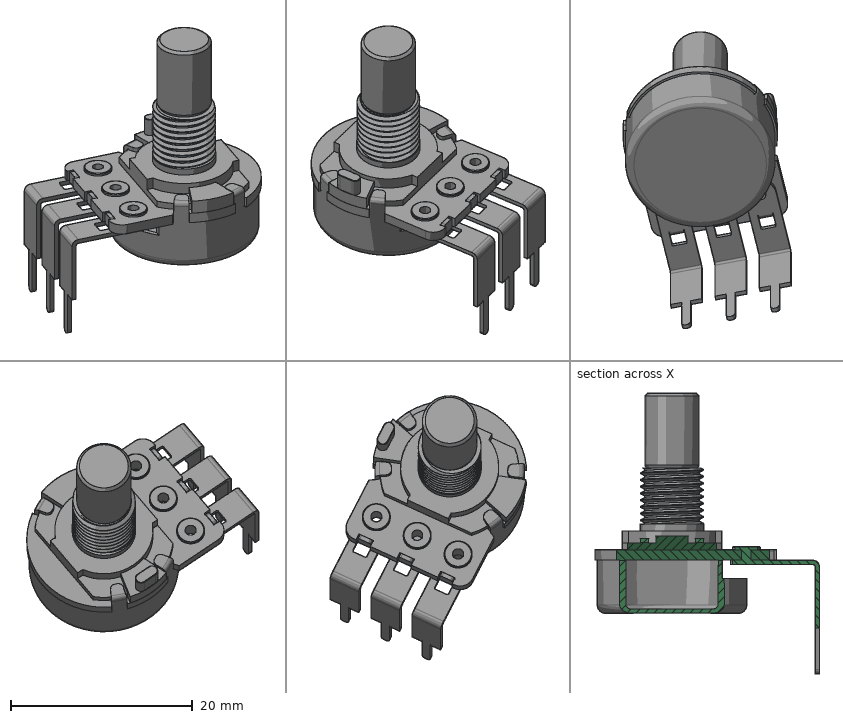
import cadquery as cq
import math


SHEET = 0.5

BOARD_THICKNESS = 1.17
BOARD_RADIUS = 8.5
BOARD_WIDTH = 15.33
BOARD_FRONT_Y = -11.53
BOARD_CORNER_RADIUS = 1.5

CAN_OUTER_RADIUS = 16.5 / 2
CAN_INNER_RADIUS = 15.5 / 2
CAN_DEPTH = 5.87
CAN_BOTTOM_FILLET = 0.95
CAN_NOTCH_Y = -5.55
CAN_NOTCH_DEPTH = 2.0

TAB_START_ANGLE = 19
TAB_END_ANGLE = 31
TAB_TIP_RADIUS = 6.4
TAB_TIP_FILLET = 0.6

PLATE_BASE_RADIUS = 7.65
PLATE_HALF_DEPTH = 5.5
PLATE_BASE_THICKNESS = 0.75
HUB_RADIUS = 5.4
HUB_HEIGHT = 1.3
HUB_LUG_WIDTH = 5.0
WING_HALF_ANGLE = 17
WING_THICKNESS = 1.5

PEG_LENGTH = 2.78
PEG_WIDTH = 1.25
PEG_HEIGHT = 2.0
PEG_X = -7.82
PEG_CHAMFER = 0.05

COLLAR_RADIUS = 7.0 / 2
COLLAR_HEIGHT = 0.75
THREAD_CREST_RADIUS = 6.92 / 2
THREAD_ROOT_RADIUS = 6.05 / 2
THREAD_PITCH = 0.75
THREAD_CREST_WIDTH = THREAD_PITCH / 8
THREAD_ROOT_WIDTH = THREAD_PITCH / 4
THREAD_LENGTH = 6.2
THREAD_EMBED = 0.1
THREAD_LEAD_IN = 0.5
NECK_RADIUS = 2.85
NECK_HEIGHT = 0.3
SHAFT_RADIUS = 6.0 / 2
SHAFT_TOP_Z = 18.4
SHAFT_CHAMFER = 0.3

TERMINAL_SPACING = 5.0
TERMINAL_WIDTH = 3.52
TERMINAL_FRONT_Y = -16.25
TERMINAL_BEND_RADIUS = 0.75
TERMINAL_SHOULDER_Z = -7.48
PIN_WIDTH = 1.0
PIN_TIP_Z = -12.5

RIVET_Y = -8.2
RIVET_BARREL_RADIUS = 2.0 / 2
RIVET_HOLE_RADIUS = 1.2 / 2
RIVET_HEAD_RADIUS = 3.1 / 2
RIVET_HEAD_HEIGHT = 0.3
RIVET_HEAD_CHAMFER = 0.1

WINDOW_WIDTH = 1.7
WINDOW_BACK_Y = -10.75
WINDOW_FRONT_Y = -12.5
WINDOW_CORNER_RADIUS = 0.2
TONGUE_WIDTH = 1.58
TONGUE_CORNER_RADIUS = 0.25
TONGUE_BEND_RADIUS = 0.37
BOARD_NOTCH_WIDTH = 1.75

BOARD_TOP_Z = BOARD_THICKNESS
PLATE_BASE_TOP_Z = BOARD_TOP_Z + PLATE_BASE_THICKNESS
HUB_TOP_Z = PLATE_BASE_TOP_Z + HUB_HEIGHT
WING_TOP_Z = BOARD_TOP_Z + WING_THICKNESS
COLLAR_TOP_Z = HUB_TOP_Z + COLLAR_HEIGHT
THREAD_TOP_Z = COLLAR_TOP_Z + THREAD_LENGTH
SHAFT_BOTTOM_Z = THREAD_TOP_Z + NECK_HEIGHT
TAB_TOP_Z = PLATE_BASE_TOP_Z + SHEET
TERMINAL_XS = [-TERMINAL_SPACING, 0, TERMINAL_SPACING]
TAB_SECTORS = [
    (base + TAB_START_ANGLE, base + TAB_END_ANGLE) for base in (0, 180)
] + [
    (base - TAB_END_ANGLE, base - TAB_START_ANGLE) for base in (0, 180)
]


def polar(radius, angle):
    """Point in the XY plane at a radius and an angle in degrees."""
    turn = math.radians(angle)
    return (radius * math.cos(turn), radius * math.sin(turn))


def disc(radius, bottom, top):
    """Cylinder on the spindle axis between two levels."""
    return cq.Workplane("XY").workplane(offset=bottom).circle(radius).extrude(top - bottom)


def ring_sector(inner, outer, start, end, bottom, top):
    """Part of a ring between two radii, two angles in degrees and two levels."""
    middle = (start + end) / 2
    return (
        cq.Workplane("XY")
        .workplane(offset=bottom)
        .moveTo(*polar(inner, start))
        .lineTo(*polar(outer, start))
        .threePointArc(polar(outer, middle), polar(outer, end))
        .lineTo(*polar(inner, end))
        .threePointArc(polar(inner, middle), polar(inner, start))
        .close()
        .extrude(top - bottom)
    )


def span_box(x_center, width, y_start, y_end, bottom, top):
    """Box centred on x_center, between two Y positions and two levels."""
    return (
        cq.Workplane("XY")
        .box(width, abs(y_end - y_start), top - bottom)
        .translate((x_center, (y_start + y_end) / 2, (bottom + top) / 2))
    )


def tab_plan(start, end):
    """Prism above the can rim that bounds one tab: radial sides and a rounded tip."""
    prism = ring_sector(TAB_TIP_RADIUS, 2 * CAN_OUTER_RADIUS, start, end, 0, TAB_TOP_Z)
    for angle in (start, end):
        tip_corner = (*polar(TAB_TIP_RADIUS, angle), TAB_TOP_Z / 2)
        corner_edge = cq.selectors.NearestToPointSelector(tip_corner)
        prism = prism.edges(corner_edge).fillet(TAB_TIP_FILLET)
    return prism


def make_can():
    """Drawn cup with four tabs bent in over the mounting plate and a front notch under the terminals."""
    can = disc(CAN_OUTER_RADIUS, -CAN_DEPTH, TAB_TOP_Z)
    can = can.faces("<Z").edges().fillet(CAN_BOTTOM_FILLET)
    can = can.faces(">Z").edges().fillet(SHEET)
    cavity = disc(CAN_INNER_RADIUS, SHEET - CAN_DEPTH, PLATE_BASE_TOP_Z)
    cavity = cavity.faces("<Z").edges().fillet(CAN_BOTTOM_FILLET - SHEET)
    between_tabs = disc(2 * CAN_OUTER_RADIUS, 0, TAB_TOP_Z)
    for start, end in TAB_SECTORS:
        between_tabs = between_tabs.cut(tab_plan(start, end))
    notch = span_box(0, 2 * CAN_OUTER_RADIUS, CAN_NOTCH_Y, -CAN_OUTER_RADIUS, -CAN_NOTCH_DEPTH, 0)
    return can.cut(cavity).cut(between_tabs).cut(notch)


def make_board():
    """Round board with a straight terminal edge, tab slots, rivet holes and tongue notches."""
    front = span_box(0, BOARD_WIDTH, 0, BOARD_FRONT_Y, 0, BOARD_TOP_Z)
    front = front.edges("|Z and <Y").fillet(BOARD_CORNER_RADIUS)
    board = disc(BOARD_RADIUS, 0, BOARD_TOP_Z).union(front)
    for start, end in TAB_SECTORS:
        board = board.cut(ring_sector(CAN_INNER_RADIUS, 2 * BOARD_RADIUS, start, end, 0, BOARD_TOP_Z))
    for x in TERMINAL_XS:
        board = board.cut(disc(RIVET_BARREL_RADIUS, 0, BOARD_TOP_Z).translate((x, RIVET_Y, 0)))
        board = board.cut(span_box(x, BOARD_NOTCH_WIDTH, WINDOW_BACK_Y, BOARD_FRONT_Y, 0, BOARD_TOP_Z))
    return board


def make_plate():
    """Mounting plate: flatted base, raised hub with two lugs, two wings and the peg."""
    flats = span_box(
        0, 2 * PLATE_BASE_RADIUS, -PLATE_HALF_DEPTH, PLATE_HALF_DEPTH, BOARD_TOP_Z, PLATE_BASE_TOP_Z
    )
    base = disc(PLATE_BASE_RADIUS, BOARD_TOP_Z, PLATE_BASE_TOP_Z).intersect(flats)
    hub = disc(HUB_RADIUS, BOARD_TOP_Z, HUB_TOP_Z)
    lugs = span_box(0, HUB_LUG_WIDTH, -PLATE_HALF_DEPTH, PLATE_HALF_DEPTH, BOARD_TOP_Z, HUB_TOP_Z)
    plate = base.union(hub).union(lugs)
    for middle in (0, 180):
        plate = plate.union(ring_sector(
            HUB_RADIUS / 2, BOARD_RADIUS, middle - WING_HALF_ANGLE, middle + WING_HALF_ANGLE,
            BOARD_TOP_Z, WING_TOP_Z,
        ))
    peg = (
        cq.Workplane("XY")
        .workplane(offset=BOARD_TOP_Z)
        .center(PEG_X, 0)
        .slot2D(PEG_LENGTH, PEG_WIDTH, 90)
        .extrude(WING_THICKNESS + PEG_HEIGHT)
        .faces(">Z")
        .edges()
        .chamfer(PEG_CHAMFER)
    )
    return plate.union(peg)


def make_thread():
    """Right-hand helical ridge that starts inside the collar and reaches past the bushing end."""
    turns = math.ceil((THREAD_LENGTH + THREAD_LEAD_IN) / THREAD_PITCH) + 1
    base_radius = THREAD_ROOT_RADIUS - THREAD_EMBED
    half_crest = THREAD_CREST_WIDTH / 2
    half_root = (THREAD_PITCH - THREAD_ROOT_WIDTH) / 2
    flank_slope = (half_root - half_crest) / (THREAD_CREST_RADIUS - THREAD_ROOT_RADIUS)
    half_base = half_root + flank_slope * THREAD_EMBED
    helix = cq.Wire.makeHelix(THREAD_PITCH, turns * THREAD_PITCH, base_radius)
    return (
        cq.Workplane("XZ")
        .polyline([
            (base_radius, -half_base),
            (THREAD_CREST_RADIUS, -half_crest),
            (THREAD_CREST_RADIUS, half_crest),
            (base_radius, half_base),
        ])
        .close()
        .sweep(cq.Workplane(helix), isFrenet=True)
        .translate((0, 0, COLLAR_TOP_Z - THREAD_LEAD_IN))
    )


def make_spindle():
    """Mounting plate, bushing and shaft in one piece."""
    thread = make_thread()
    thread_core = disc(THREAD_ROOT_RADIUS, BOARD_TOP_Z, SHAFT_TOP_Z).union(thread)
    thread_core = thread_core.intersect(disc(2 * COLLAR_RADIUS, BOARD_TOP_Z, THREAD_TOP_Z))
    collar = disc(COLLAR_RADIUS, BOARD_TOP_Z, COLLAR_TOP_Z)
    shaft = (
        cq.Workplane("XZ")
        .polyline([
            (0, BOARD_TOP_Z),
            (NECK_RADIUS, BOARD_TOP_Z),
            (NECK_RADIUS, THREAD_TOP_Z),
            (SHAFT_RADIUS, SHAFT_BOTTOM_Z),
            (SHAFT_RADIUS, SHAFT_TOP_Z - SHAFT_CHAMFER),
            (SHAFT_RADIUS - SHAFT_CHAMFER, SHAFT_TOP_Z),
            (0, SHAFT_TOP_Z),
        ])
        .close()
        .revolve(360, (0, 0, 0), (0, 1, 0))
    )
    return thread_core.union(collar).union(shaft).union(make_plate())


def terminal_strip():
    """Bent strip with a rounded rear end, a shoulder and a round-tipped pin."""
    half_width = TERMINAL_WIDTH / 2
    half_pin = PIN_WIDTH / 2
    bent_sheet = (
        cq.Workplane("YZ")
        .moveTo(RIVET_Y + half_width, 0)
        .lineTo(TERMINAL_FRONT_Y + TERMINAL_BEND_RADIUS, 0)
        .radiusArc((TERMINAL_FRONT_Y, -TERMINAL_BEND_RADIUS), -TERMINAL_BEND_RADIUS)
        .lineTo(TERMINAL_FRONT_Y, PIN_TIP_Z)
        .lineTo(TERMINAL_FRONT_Y + SHEET, PIN_TIP_Z)
        .lineTo(TERMINAL_FRONT_Y + SHEET, -TERMINAL_BEND_RADIUS)
        .radiusArc((TERMINAL_FRONT_Y + TERMINAL_BEND_RADIUS, -SHEET), TERMINAL_BEND_RADIUS - SHEET)
        .lineTo(RIVET_Y + half_width, -SHEET)
        .close()
        .extrude(half_width, both=True)
    )
    plan = (
        cq.Workplane("XY")
        .workplane(offset=PIN_TIP_Z)
        .moveTo(-half_width, RIVET_Y)
        .threePointArc((0, RIVET_Y + half_width), (half_width, RIVET_Y))
        .lineTo(half_width, TERMINAL_FRONT_Y)
        .lineTo(-half_width, TERMINAL_FRONT_Y)
        .close()
        .extrude(-PIN_TIP_Z)
    )
    elevation = (
        cq.Workplane("XZ", origin=(0, TERMINAL_FRONT_Y, 0))
        .moveTo(-half_width, 0)
        .lineTo(-half_width, TERMINAL_SHOULDER_Z)
        .lineTo(-half_pin, TERMINAL_SHOULDER_Z)
        .lineTo(-half_pin, PIN_TIP_Z + half_pin)
        .threePointArc((0, PIN_TIP_Z), (half_pin, PIN_TIP_Z + half_pin))
        .lineTo(half_pin, TERMINAL_SHOULDER_Z)
        .lineTo(half_width, TERMINAL_SHOULDER_Z)
        .lineTo(half_width, 0)
        .close()
        .extrude(TERMINAL_FRONT_Y)
    )
    return bent_sheet.intersect(plan).intersect(elevation)


def make_terminal(x):
    """Terminal with its hollow rivet and its bent-up locating tongue."""
    window = span_box(0, WINDOW_WIDTH, WINDOW_BACK_Y, WINDOW_FRONT_Y, -SHEET, 0)
    window = window.edges("|Z and <Y").fillet(WINDOW_CORNER_RADIUS)
    tongue = span_box(0, TONGUE_WIDTH, WINDOW_BACK_Y, WINDOW_BACK_Y - SHEET, -SHEET, BOARD_TOP_Z)
    tongue = tongue.edges("|Y and >Z").fillet(TONGUE_CORNER_RADIUS)
    tongue = tongue.faces("<Z").edges("<Y").fillet(TONGUE_BEND_RADIUS)

    head_top = BOARD_TOP_Z + RIVET_HEAD_HEIGHT
    barrel = disc(RIVET_BARREL_RADIUS, -SHEET, head_top)
    head = disc(RIVET_HEAD_RADIUS, BOARD_TOP_Z, head_top).faces(">Z").edges().chamfer(RIVET_HEAD_CHAMFER)
    rivet = barrel.union(head).translate((0, RIVET_Y, 0))
    bore = disc(RIVET_HOLE_RADIUS, -SHEET, head_top).translate((0, RIVET_Y, 0))

    terminal = terminal_strip().cut(window).union(tongue).union(rivet).cut(bore)
    return terminal.translate((x, 0, 0))


can = make_can()
board = make_board()
spindle = make_spindle()
terminals = [make_terminal(x).val() for x in TERMINAL_XS]

result = cq.Compound.makeCompound([can.val(), board.val(), spindle.val(), *terminals])